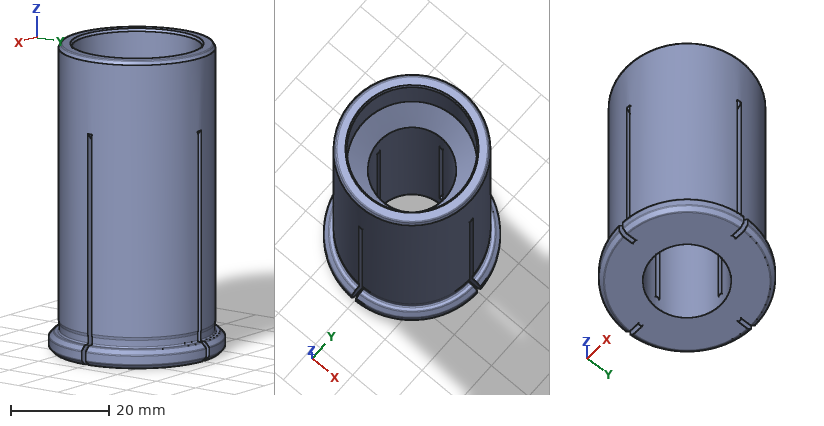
import cadquery as cq
import math

length = 64
body_radius = 32 / 2
bore_radius = 18.0 / 2

flange_radius = 36.0 / 2
flange_height = 4.0
flange_chamfer = 1.0
flange_face_radius = flange_radius - flange_chamfer

groove_depth = 0.16
groove_radius = body_radius - groove_depth
groove_top = 5.7
groove_end = 6.35

counterbore_radius = 26.5 / 2
counterbore_floor = 53.05
cone_height = counterbore_radius - bore_radius

rim_chamfer_angle = math.radians(30)
outer_rim_chamfer = 0.5
inner_rim_chamfer = 0.3
rim_face_radius = body_radius - outer_rim_chamfer

corner_rounding = 0.3
match_tolerance = 0.03

slot_count = 4
slot_width = 1.0
slot_top_at_body = 48.0
slot_bottom_at_bore = 4.1
slot_top_slope = math.tan(math.radians(45))
slot_bottom_slope = -math.tan(math.radians(37))


def make_sleeve():
    """Revolve the wall section (radius, height) around Z."""
    section = [
        (bore_radius, 0),
        (flange_face_radius, 0),
        (flange_radius, flange_chamfer),
        (flange_radius, flange_height - flange_chamfer),
        (flange_face_radius, flange_height),
        (groove_radius, flange_height),
        (groove_radius, groove_top),
        (body_radius, groove_end),
        (body_radius, length - outer_rim_chamfer / math.tan(rim_chamfer_angle)),
        (rim_face_radius, length),
        (counterbore_radius + inner_rim_chamfer, length),
        (counterbore_radius, length - inner_rim_chamfer / math.tan(rim_chamfer_angle)),
        (counterbore_radius, counterbore_floor),
        (bore_radius, counterbore_floor - cone_height),
    ]
    return cq.Workplane("XZ").polyline(section).close().revolve(360, (0, 0), (0, 1))


def round_corners(sleeve):
    """Round the circular edges listed by radius and height."""
    corners = [
        (flange_face_radius, 0),
        (flange_radius, flange_chamfer),
        (flange_radius, flange_height - flange_chamfer),
        (flange_face_radius, flange_height),
        (groove_radius, flange_height),
        (rim_face_radius, length),
    ]

    def is_corner(edge):
        if edge.geomType() != "CIRCLE":
            return False
        place = (edge.radius(), edge.Center().z)
        return any(math.dist(place, corner) < match_tolerance for corner in corners)

    return sleeve.edges().filter(is_corner).fillet(corner_rounding)


def make_slot_cutter():
    """Wedge-ended blade on the +X side, growing taller from the axis outwards."""
    reach = flange_radius + slot_width

    def slot_top(radius):
        return slot_top_at_body + slot_top_slope * (radius - body_radius)

    def slot_bottom(radius):
        return slot_bottom_at_bore + slot_bottom_slope * (radius - bore_radius)

    outline = [
        (0, slot_bottom(0)),
        (reach, slot_bottom(reach)),
        (reach, slot_top(reach)),
        (0, slot_top(0)),
    ]
    return cq.Workplane("XZ").polyline(outline).close().extrude(slot_width / 2, both=True)


result = round_corners(make_sleeve())
slot_cutter = make_slot_cutter()
for index in range(slot_count):
    angle = index * 360 / slot_count
    result = result.cut(slot_cutter.rotate((0, 0, 0), (0, 0, 1), angle))